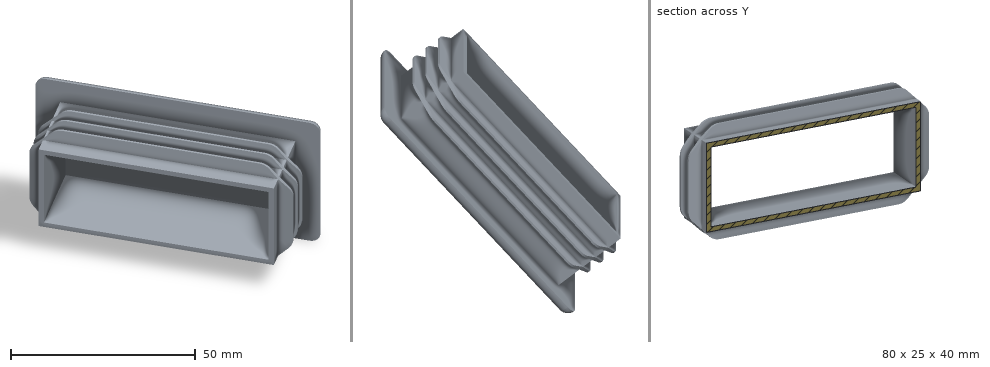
import cadquery as cq


cap_width = 80.0
cap_height = 40.0
cap_thickness = 3.0
cap_corner_radius = cap_thickness
round_shortfall = 0.001

shank_width = 66.0
shank_height = 26.0
shank_length = 22.0
wall = 1.5
cavity_depth = shank_length

fin_side_overhang = 4.0
fin_top_overhang = 3.75
fin_tip_thickness = 0.6
fin_root_thickness = 1.25
fin_pitch = 4.5
fin_count = 3
cap_to_first_fin = 7.45
fin_corner_radius = 4.0

fin_width = shank_width + 2 * fin_side_overhang
fin_height = shank_height + 2 * fin_top_overhang
fin_corner_cut = fin_side_overhang + fin_top_overhang


def plane_at(y):
    """Plane across the insertion axis whose normal points from the mouth to the cap."""
    return cq.Workplane("XZ", origin=(0, y, 0)).transformed(rotate=(0, 180, 0))


def slab(width, height, thickness, y):
    """Rectangular block starting at y and growing toward the cap."""
    return plane_at(y).rect(width, height).extrude(thickness)


def make_cap():
    """Plate with rounded corners and a quarter-round outer edge."""
    plate = slab(cap_width, cap_height, cap_thickness, shank_length)
    plate = plate.edges("|Y").fillet(cap_corner_radius)
    return plate.faces(">Y").edges().fillet(cap_thickness - round_shortfall)


def make_fin(back_y):
    """Fin with a flat back, a front sloping to a thin tip, and rounded 45 degree corners."""
    slope_depth = fin_root_thickness - fin_tip_thickness
    tip_band = slab(fin_width, fin_height, fin_tip_thickness, back_y - fin_tip_thickness)
    sloped_front = (
        plane_at(back_y - fin_root_thickness)
        .rect(shank_width, shank_height)
        .workplane(offset=slope_depth)
        .rect(fin_width, fin_height)
        .loft(ruled=True)
    )
    outline = slab(fin_width, fin_height, fin_root_thickness, back_y - fin_root_thickness)
    outline = outline.edges("|Y").chamfer(fin_corner_cut)
    outline = outline.edges("|Y").fillet(fin_corner_radius)
    return tip_band.union(sloped_front).intersect(outline)


def make_cavity():
    """Pocket opening at the mouth of the shank."""
    return slab(shank_width - 2 * wall, shank_height - 2 * wall, cavity_depth, 0)


result = make_cap().union(slab(shank_width, shank_height, shank_length, 0))
for index in range(fin_count):
    result = result.union(make_fin(shank_length - cap_to_first_fin - index * fin_pitch))
result = result.cut(make_cavity())